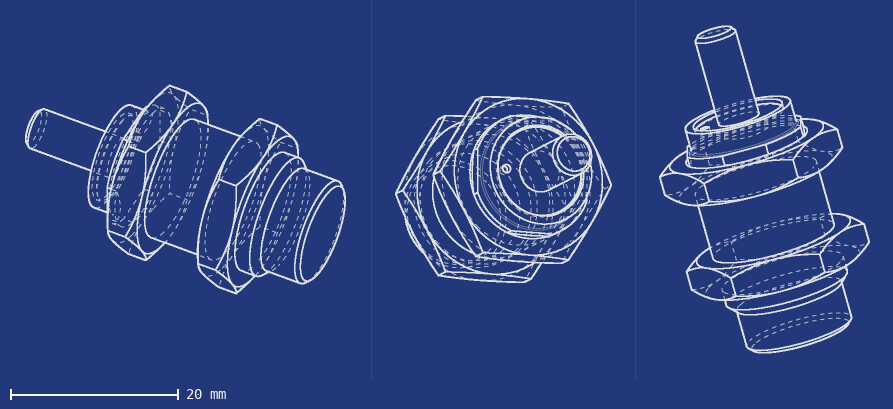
import cadquery as cq
import math

total_length = 38.5

rod_diameter = 5.0
rod_tip_diameter = 4.2
rod_chamfer_length = 0.5

body_diameter = 15.0
neck_diameter = 13.0
neck_start = 10.5
body_start = 13.3
flats_width = 14.0
shoulder_end = 33.5
shoulder_length = (body_diameter - neck_diameter) / 2
shoulder_start = shoulder_end - shoulder_length
rear_chamfer = 0.5

root_fillet_radius = 0.2

recess_diameter = 11.0
cap_face_diameter = 10.7
recess_depth = 0.5
cap_chamfer = (recess_diameter - cap_face_diameter) / 2
vent_diameter = 1.0
vent_offset = 4.2
vent_depth = 1.0

nut_across_flats = 19.0
nut_thickness = 4.0
nut_starts = (14.5, 26.53)
nut_chamfer_angle = 30.0

countersink_length = (body_diameter - flats_width) / 2
flats_length = nut_starts[0] - body_start


def revolve_about_x(points):
    """Revolve a closed (axial, radial) outline about the X axis."""
    return cq.Workplane("XY").polyline(points).close().revolve(360, (0, 0, 0), (1, 0, 0))


def cylinder(start, length, diameter):
    return cq.Workplane("YZ", origin=(start, 0, 0)).circle(diameter / 2).extrude(length)


def make_rod():
    rod_end = neck_start + recess_depth
    return revolve_about_x([
        (0, 0),
        (0, rod_tip_diameter / 2),
        (rod_chamfer_length, rod_diameter / 2),
        (rod_end, rod_diameter / 2),
        (rod_end, 0),
    ])


def make_body():
    neck_radius = neck_diameter / 2
    body_radius = body_diameter / 2
    body = revolve_about_x([
        (neck_start, 0),
        (neck_start, neck_radius),
        (body_start, neck_radius),
        (body_start, body_radius),
        (shoulder_start, body_radius),
        (shoulder_end, neck_radius),
        (total_length - rear_chamfer, neck_radius),
        (total_length, neck_radius - rear_chamfer),
        (total_length, 0),
    ])
    return body.union(make_root_fillet()).cut(make_flats_cutter())


def make_root_fillet():
    """Concave ring that blends the front neck into the face of the large diameter."""
    neck_radius = neck_diameter / 2
    fillet_start = body_start - root_fillet_radius
    fillet_top = neck_radius + root_fillet_radius
    arc_reach = root_fillet_radius * math.sin(math.radians(45))
    arc_middle = (fillet_start + arc_reach, fillet_top - arc_reach)
    return (
        cq.Workplane("XY")
        .moveTo(fillet_start, neck_radius)
        .threePointArc(arc_middle, (body_start, fillet_top))
        .lineTo(body_start, neck_radius)
        .close()
        .revolve(360, (0, 0, 0), (1, 0, 0))
    )


def make_flats_cutter():
    """Material outside four wrench flats, bounded at the rear by a countersink cone."""
    flats_end = body_start + flats_length
    body_radius = body_diameter / 2
    mouth = revolve_about_x([
        (body_start, 0),
        (body_start, body_radius),
        (flats_end, body_radius),
        (flats_end + countersink_length, flats_width / 2),
        (flats_end + countersink_length, 0),
    ])
    square = (
        cq.Workplane("YZ", origin=(body_start, 0, 0))
        .rect(flats_width, flats_width)
        .extrude(flats_length + countersink_length)
    )
    return mouth.cut(square)


def make_recess():
    recess_floor = neck_start + recess_depth
    return revolve_about_x([
        (neck_start, 0),
        (neck_start, recess_diameter / 2),
        (recess_floor + cap_chamfer, recess_diameter / 2),
        (recess_floor, cap_face_diameter / 2),
        (recess_floor, 0),
    ])


def make_vent():
    start = neck_start + recess_depth
    return cylinder(start, vent_depth, vent_diameter).translate((0, vent_offset, 0))


def make_nut(start):
    """Hexagonal nut with corners on the Y axis and both faces chamfered."""
    corner_radius = nut_across_flats / math.sqrt(3)
    face_radius = nut_across_flats / 2
    chamfer_length = (corner_radius - face_radius) * math.tan(math.radians(nut_chamfer_angle))
    hexagon = (
        cq.Workplane("YZ", origin=(start, 0, 0))
        .polygon(6, 2 * corner_radius)
        .extrude(nut_thickness)
    )
    end = start + nut_thickness
    envelope = revolve_about_x([
        (start, 0),
        (start, face_radius),
        (start + chamfer_length, corner_radius),
        (end - chamfer_length, corner_radius),
        (end, face_radius),
        (end, 0),
    ])
    bore = cylinder(start, nut_thickness, body_diameter)
    return hexagon.intersect(envelope).cut(bore)


result = make_body().cut(make_recess()).cut(make_vent()).union(make_rod())
for nut_start in nut_starts:
    result = result.union(make_nut(nut_start))